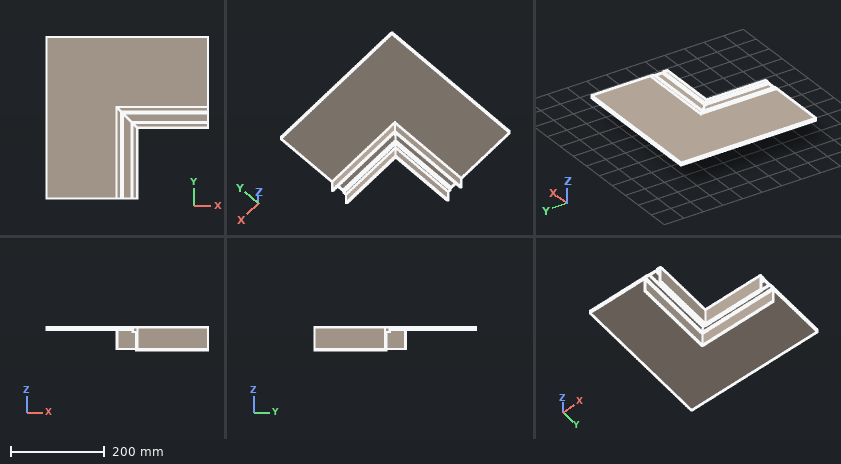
import cadquery as cq

SIDE = 344.5
PANEL_WIDTH = 150.0
PANEL_THICKNESS = 6.2

STRIP_WALL = 1.7
STRIP_BOTTOM = -47.2
SHELF_THICKNESS = 3.5
RECESS_DEPTH = 1.7
RECESS_START = 158.5
RECESS_FLOOR_START = 161.0
SHELF_END = 181.2

NOSING_INNER = 183.5
NOSING_OUTER = 193.5
HEAD_HEIGHT = 11.0
TONGUE_START = 163.5
TONGUE_THICKNESS = 1.5
LEG_THICKNESS = 3.0
NOSING_BOTTOM = -50.0
BEVEL_HEIGHT = 2.8


def make_panel():
    """L-shaped flat panel with its missing quarter at the +X, -Y corner."""
    inner_y = SIDE - PANEL_WIDTH
    outline = [
        (0, 0),
        (PANEL_WIDTH, 0),
        (PANEL_WIDTH, inner_y),
        (SIDE, inner_y),
        (SIDE, SIDE),
        (0, SIDE),
    ]
    return cq.Workplane("XY").polyline(outline).close().extrude(-PANEL_THICKNESS)


def strip_profile():
    """Section of the angle strip as (u, z) points."""
    wall_inner = PANEL_WIDTH + STRIP_WALL
    return [
        (PANEL_WIDTH, 0),
        (RECESS_START, 0),
        (RECESS_FLOOR_START, -RECESS_DEPTH),
        (SHELF_END, -RECESS_DEPTH),
        (SHELF_END, -SHELF_THICKNESS),
        (wall_inner, -SHELF_THICKNESS),
        (wall_inner, STRIP_BOTTOM),
        (PANEL_WIDTH, STRIP_BOTTOM),
    ]


def nosing_profile():
    """Section of the nosing as (u, z) points; the bevel spans the whole leg end."""
    leg_inner = NOSING_OUTER - LEG_THICKNESS
    return [
        (NOSING_INNER, 0),
        (NOSING_OUTER, 0),
        (NOSING_OUTER, NOSING_BOTTOM + BEVEL_HEIGHT),
        (leg_inner, NOSING_BOTTOM),
        (leg_inner, -HEAD_HEIGHT),
        (NOSING_INNER, -HEAD_HEIGHT),
        (NOSING_INNER, -SHELF_THICKNESS - TONGUE_THICKNESS),
        (TONGUE_START, -SHELF_THICKNESS - TONGUE_THICKNESS),
        (TONGUE_START, -SHELF_THICKNESS),
        (NOSING_INNER, -SHELF_THICKNESS),
    ]


def mitred_pair(profile):
    """Two mirrored bars, one along Y and one along X, meeting on the diagonal."""
    bar = cq.Workplane("XZ").polyline(profile).close().extrude(-SIDE)
    mitre_side = (
        cq.Workplane("XY")
        .polyline([(0, 0), (SIDE, 0), (0, SIDE)])
        .close()
        .extrude(2 * NOSING_BOTTOM, both=True)
    )
    y_bar = bar.intersect(mitre_side)
    centre = (SIDE / 2, SIDE / 2, 0)
    x_bar = y_bar.mirror(cq.Vector(1, 1, 0), centre)
    return [y_bar.val(), x_bar.val()]


panel = make_panel()
angle_strips = mitred_pair(strip_profile())
nosings = mitred_pair(nosing_profile())

result = cq.Compound.makeCompound([panel.val(), *angle_strips, *nosings])